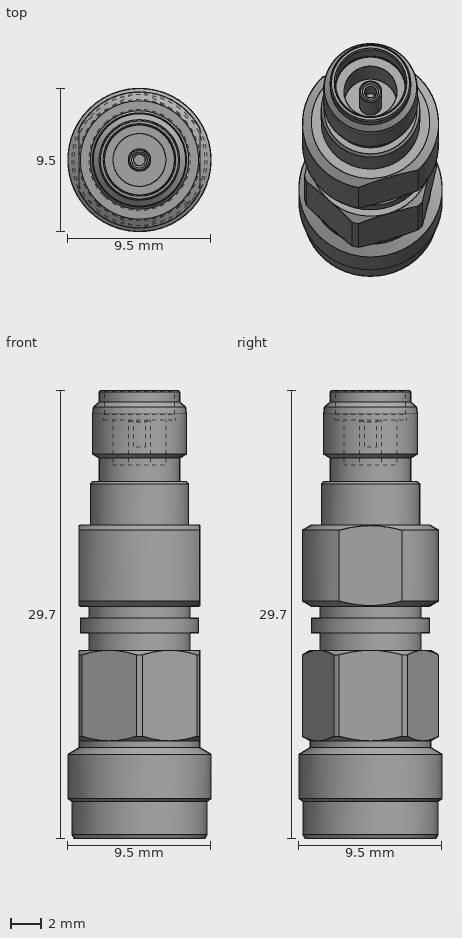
import cadquery as cq
import math


total_height = 29.68
foot_chamfer_top = 0.27
foot_top = 2.45
nut_bottom = 2.65
nut_top = 5.58
nut_cone_top = 6.03
hex_bottom = 6.47
hex_top = 12.47
collar_bottom = 13.62
collar_top = 14.6
body_bottom = 15.37
body_top = 20.78
boss_top = 23.65
thread_bottom = 25.2
thread_top = 28.58
tip_bottom = 28.9

flat_distance = 4.0
hex_sides = 6

foot_radius = 4.48
nut_radius = 4.75
waist_radius = flat_distance
wrench_radius = 4.5
neck_radius = 3.35
collar_radius = 3.92
boss_radius = 3.25
thread_radius = 3.12
tip_radius = 2.67

foot_chamfer = 0.15
hex_chamfer_height = 0.3
body_edge_radius = 3.92
body_chamfer_height = 0.35
boss_chamfer = 0.18
thread_end_chamfer_height = 0.27
thread_lead = 0.45
thread_lead_radius = 3.05
tip_chamfer = 0.1
tip_chamfer_height = 0.12

mouth_chamfer = 0.1
mouth_radius = 2.32
relief_radius = 2.37
relief_height = 0.35
mouth_depth = 1.95
cavity_radius = 1.75
cavity_depth = 2.97
pin_radius = 0.75
pin_chamfer = 0.1
pin_hole_radius = 0.4
pin_countersink = 0.15
pin_hole_depth = 1.78


def turned(profile):
    """Revolve (radius, height) points, closed along the Z axis."""
    bottom = profile[0][1]
    top = profile[-1][1]
    points = [(0, bottom)] + profile + [(0, top)]
    return cq.Workplane("XZ").polyline(points).close().revolve(360, (0, 0), (0, 1))


def wrench_blank(bottom, top, edge_radius, chamfer_height):
    """Cylinder with conical edge breaks, before its flats are cut."""
    return turned([
        (edge_radius, bottom),
        (wrench_radius, bottom + chamfer_height),
        (wrench_radius, top - chamfer_height),
        (edge_radius, top),
    ])


def coupling_nut():
    return turned([
        (foot_radius - foot_chamfer, 0),
        (foot_radius, foot_chamfer_top),
        (foot_radius, foot_top),
        (nut_radius, nut_bottom),
        (nut_radius, nut_top),
        (waist_radius, nut_cone_top),
        (waist_radius, hex_bottom),
    ])


def hex_section():
    """Hexagon with rounded corners and two flats square to X."""
    blank = wrench_blank(hex_bottom, hex_top, waist_radius, hex_chamfer_height)
    hexagon = (
        cq.Workplane("XY", origin=(0, 0, hex_bottom))
        .polygon(hex_sides, 2 * flat_distance / math.cos(math.pi / hex_sides))
        .extrude(hex_top - hex_bottom)
        .rotate((0, 0, 0), (0, 0, 1), 180 / hex_sides)
    )
    return blank.intersect(hexagon)


def collared_neck():
    return turned([
        (neck_radius, hex_top),
        (neck_radius, collar_bottom),
        (collar_radius, collar_bottom),
        (collar_radius, collar_top),
        (neck_radius, collar_top),
        (neck_radius, body_bottom),
    ])


def two_flat_body():
    """Round body with one pair of flats square to X."""
    blank = wrench_blank(body_bottom, body_top, body_edge_radius, body_chamfer_height)
    slab = (
        cq.Workplane("XY", origin=(0, 0, body_bottom))
        .rect(2 * flat_distance, 2 * wrench_radius)
        .extrude(body_top - body_bottom)
    )
    return blank.intersect(slab)


def jack_barrel():
    return turned([
        (boss_radius, body_top),
        (boss_radius, boss_top - boss_chamfer),
        (boss_radius - boss_chamfer, boss_top),
        (tip_radius, boss_top),
        (tip_radius, thread_bottom),
        (thread_radius, thread_bottom + thread_end_chamfer_height),
        (thread_radius, thread_top - thread_lead),
        (thread_lead_radius, thread_top),
        (tip_radius, tip_bottom),
        (tip_radius, total_height - tip_chamfer_height),
        (tip_radius - tip_chamfer, total_height),
    ])


def jack_cavity():
    """Mouth with a relief groove at its floor, and the narrower cavity around the pin."""
    floor = total_height - mouth_depth
    return turned([
        (cavity_radius, floor - cavity_depth),
        (cavity_radius, floor),
        (relief_radius, floor),
        (relief_radius, floor + relief_height),
        (mouth_radius, floor + relief_height),
        (mouth_radius, total_height - mouth_chamfer),
        (mouth_radius + mouth_chamfer, total_height),
    ])


def contact_pin():
    """Socket contact standing on the cavity floor, level with the mouth floor."""
    pin_top = total_height - mouth_depth
    pin = turned([
        (pin_radius, pin_top - cavity_depth),
        (pin_radius, pin_top - pin_chamfer),
        (pin_radius - pin_chamfer, pin_top),
    ])
    hole = turned([
        (pin_hole_radius, pin_top - pin_hole_depth),
        (pin_hole_radius, pin_top - pin_countersink),
        (pin_hole_radius + pin_countersink, pin_top),
    ])
    return pin.cut(hole)


result = (
    coupling_nut()
    .union(hex_section())
    .union(collared_neck())
    .union(two_flat_body())
    .union(jack_barrel())
    .cut(jack_cavity())
    .union(contact_pin())
)